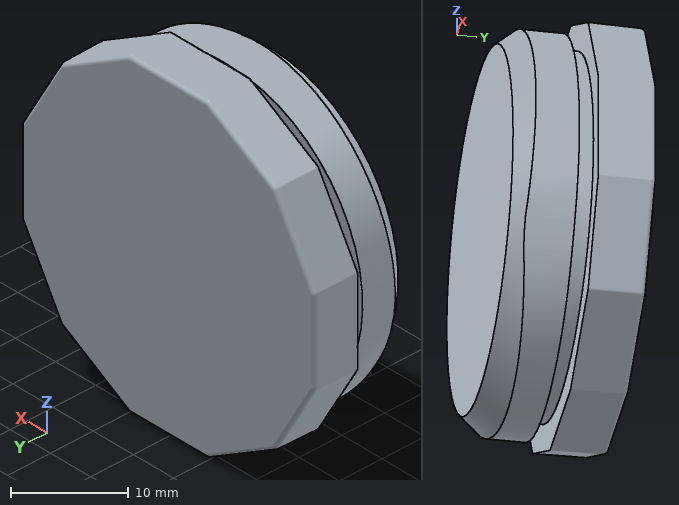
import cadquery as cq
import math


side_count = 12
across_flats = 36.68
head_thickness = 5.03
head_draft = 1.0
corner_radius = 0.4
back_edge_radius = 0.48

neck_radius = 32.0 / 2
neck_length = 1.45

total_depth = 12.0
cap_length = total_depth - head_thickness - neck_length
low_radius = 17.02
side_lobe_radius = 17.55
bottom_lobe_radius = 17.97
bottom_lobe_start_radius = 17.1
strip_half_angle = 2.8
bottom_lobe_half_angle = 54.0

bevel_slope = 1.2

top_angle = 90.0
bottom_angle = -90.0
right_lobe_angle = 30.0
right_strip_angle = -30.0


def polar(radius, angle):
    """Point in the XZ plane."""
    turn = math.radians(angle)
    return radius * math.cos(turn), radius * math.sin(turn)


def mirrored(point):
    """Same point on the -X side."""
    return -point[0], point[1]


def make_head():
    corner_circle_diameter = across_flats / math.cos(math.pi / side_count)
    outline = cq.Sketch().regularPolygon(corner_circle_diameter / 2, side_count, 180 / side_count)
    head = cq.Workplane("XZ").placeSketch(outline).extrude(-head_thickness, taper=head_draft)
    head = head.edges("not #Y").fillet(corner_radius)
    return head.faces(">Y").edges().fillet(back_edge_radius)


def make_neck():
    return cq.Workplane("XZ").circle(neck_radius).extrude(neck_length)


def make_lobed_body():
    top_strip_end = polar(low_radius, top_angle - strip_half_angle)
    side_crest = polar(side_lobe_radius, right_lobe_angle)
    side_lobe_end = polar(low_radius, right_strip_angle + strip_half_angle)
    strip_middle = polar(low_radius, right_strip_angle)
    bottom_lobe_start = polar(bottom_lobe_start_radius, bottom_angle + bottom_lobe_half_angle)
    return (
        cq.Workplane("XZ", origin=(0, -neck_length, 0))
        .moveTo(*mirrored(top_strip_end))
        .threePointArc(polar(low_radius, top_angle), top_strip_end)
        .threePointArc(side_crest, side_lobe_end)
        .threePointArc(strip_middle, bottom_lobe_start)
        .threePointArc(polar(bottom_lobe_radius, bottom_angle), mirrored(bottom_lobe_start))
        .threePointArc(mirrored(strip_middle), mirrored(side_lobe_end))
        .threePointArc(mirrored(side_crest), mirrored(top_strip_end))
        .close()
        .extrude(cap_length)
    )


def make_bevel_envelope():
    """Cone that grows from the front face, wide enough at the neck to clear the lobes."""
    front_y = -neck_length - cap_length
    wide_radius = neck_radius + cap_length / bevel_slope
    return (
        cq.Workplane("XY")
        .moveTo(0, front_y)
        .lineTo(neck_radius, front_y)
        .lineTo(wide_radius, -neck_length)
        .lineTo(0, -neck_length)
        .close()
        .revolve(360, (0, 0, 0), (0, 1, 0))
    )


cap = make_lobed_body().intersect(make_bevel_envelope())
result = make_head().union(make_neck()).union(cap)